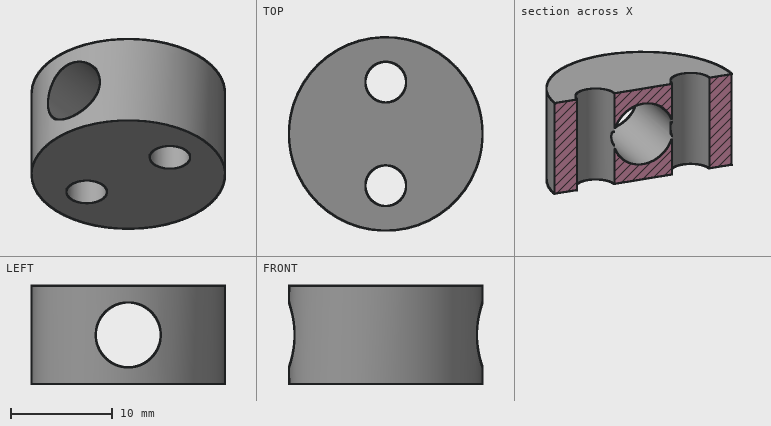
import cadquery as cq

body_diameter = 19.0
body_height = 9.65
cross_bore_diameter = 6.35
pin_hole_diameter = 3.97
pin_hole_spacing = 10.16


def make_body():
    """Round disc standing on the XY plane."""
    return cq.Workplane("XY").circle(body_diameter / 2).extrude(body_height)


def make_cross_bore():
    """Cylinder along X, through the full width of the body at mid height."""
    return (
        cq.Workplane("YZ")
        .center(0, body_height / 2)
        .circle(cross_bore_diameter / 2)
        .extrude(body_diameter, both=True)
    )


def make_pin_holes():
    """Two vertical cylinders, spaced evenly about the axis along Y."""
    offset = pin_hole_spacing / 2
    return (
        cq.Workplane("XY")
        .pushPoints([(0, -offset), (0, offset)])
        .circle(pin_hole_diameter / 2)
        .extrude(body_height)
    )


result = make_body().cut(make_cross_bore()).cut(make_pin_holes())